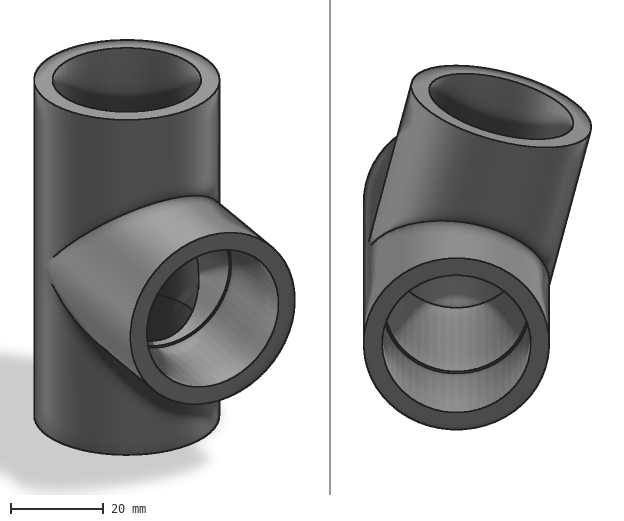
import cadquery as cq

run_length = 80.0
outer_diameter = 40.0
socket_diameter = 32.0
bore_diameter = 31.0
branch_reach = 40.0
socket_depth = 22.0

half_run = run_length / 2


def run_cylinder(diameter, length):
    """Cylinder along Z, centred on the origin."""
    return cq.Workplane("XY").circle(diameter / 2).extrude(length / 2, both=True)


def branch_cylinder(diameter, start, end):
    """Cylinder along +X between two distances from the run axis."""
    return cq.Workplane("YZ").workplane(offset=start).circle(diameter / 2).extrude(end - start)


def run_socket(direction):
    """Socket space at the top (+1) or bottom (-1) end of the run."""
    return (
        cq.Workplane("XY")
        .workplane(offset=direction * half_run)
        .circle(socket_diameter / 2)
        .extrude(-direction * socket_depth)
    )


body = run_cylinder(outer_diameter, run_length).union(branch_cylinder(outer_diameter, 0, branch_reach))

body = body.cut(run_cylinder(bore_diameter, run_length))
body = body.cut(branch_cylinder(bore_diameter, 0, branch_reach))

for direction in (1, -1):
    body = body.cut(run_socket(direction))
result = body.cut(branch_cylinder(socket_diameter, branch_reach - socket_depth, branch_reach))